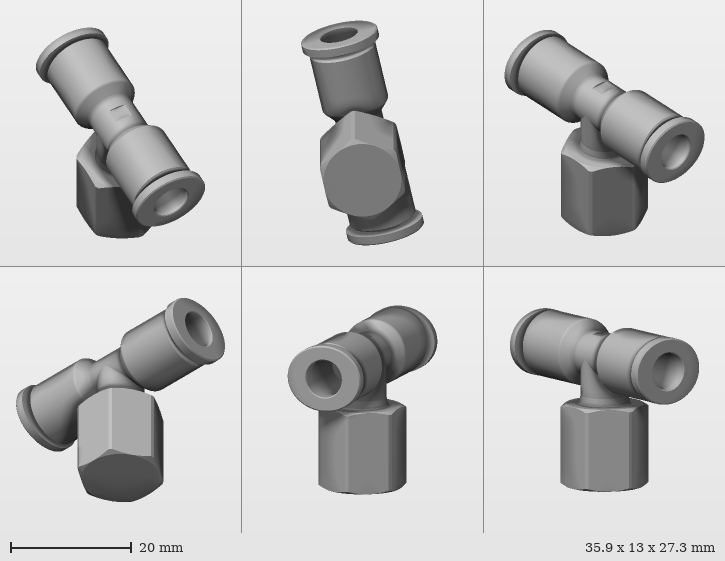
import cadquery as cq
import math

length = 35.9
height = 27.3
half_length = length / 2

body_radius = 5.6
waist_radius = 4.0
waist_end = 3.1
shoulder_start = 3.75
shoulder_end = 5.17
body_start = 5.75
body_end = 15.58
body_chamfer = 0.25
shoulder_inner_radius = 4.2
shoulder_outer_radius = 5.42

collar_width = 13.0
collar_height = 11.13
collar_thickness = 1.58
collar_chamfer = 0.2
neck_radius = 3.8

socket_radius = 3.15
socket_depth = half_length - body_start
socket_chamfer = 0.15

flat_length = 2.5
flat_width = 3.1

stem_radius = waist_radius
flare_start_z = -6.45
flare_radius = 4.27
rim_z = -7.65
rim_radius = 4.5

nut_flats = 13.0
nut_corner_radius = 7.32
nut_top_z = -7.85
nut_bottom_z = body_radius - height
nut_chamfer_angle = 30.0
nut_face_radius = 6.45


def make_run():
    """Solid of revolution about X: waist, flared shoulders, bodies and necks."""
    half = (
        cq.Workplane("XY")
        .lineTo(0, waist_radius)
        .lineTo(waist_end, waist_radius)
        .tangentArcPoint((shoulder_start, shoulder_inner_radius), relative=False)
        .lineTo(shoulder_end, shoulder_outer_radius)
        .tangentArcPoint((body_start, body_radius), relative=False)
        .lineTo(body_end - body_chamfer, body_radius)
        .lineTo(body_end, body_radius - body_chamfer)
        .lineTo(body_end, neck_radius)
        .lineTo(half_length - collar_thickness, neck_radius)
        .lineTo(half_length - collar_thickness, 0)
        .close()
        .revolve(360, (0, 0, 0), (1, 0, 0))
    )
    return half.union(half.mirror("YZ"))


def make_collar():
    """Oval flange at the +X end with a chamfered outer edge."""
    return (
        cq.Workplane("YZ")
        .workplane(offset=half_length - collar_thickness)
        .ellipse(collar_width / 2, collar_height / 2)
        .extrude(collar_thickness)
        .faces(">X")
        .chamfer(collar_chamfer)
    )


def make_socket():
    """Blind tube socket entering from the +X end, with a chamfered mouth."""
    mouth_radius = socket_radius + socket_chamfer
    profile = [
        (half_length, 0),
        (half_length, mouth_radius),
        (half_length - socket_chamfer, socket_radius),
        (half_length - socket_depth, socket_radius),
        (half_length - socket_depth, 0),
    ]
    return cq.Workplane("XY").polyline(profile).close().revolve(360, (0, 0, 0), (1, 0, 0))


def make_stem():
    """Round stem from the run axis down into the nut, flaring at its foot."""
    profile = [
        (0, 0),
        (stem_radius, 0),
        (stem_radius, flare_start_z),
        (flare_radius, rim_z),
        (rim_radius, nut_top_z),
        (0, nut_top_z),
    ]
    return cq.Workplane("XZ").polyline(profile).close().revolve(360, (0, 0, 0), (0, 1, 0))


def make_nut():
    """Hexagon with flats facing +Y and -Y, turned corners and chamfered ends."""
    hexagon = (
        cq.Workplane("XY")
        .workplane(offset=nut_bottom_z)
        .polygon(6, nut_flats / math.cos(math.pi / 6))
        .extrude(nut_top_z - nut_bottom_z)
    )
    chamfer_drop = (nut_corner_radius - nut_face_radius) * math.tan(math.radians(nut_chamfer_angle))
    profile = [
        (0, nut_bottom_z),
        (nut_face_radius, nut_bottom_z),
        (nut_corner_radius, nut_bottom_z + chamfer_drop),
        (nut_corner_radius, nut_top_z - chamfer_drop),
        (nut_face_radius, nut_top_z),
        (0, nut_top_z),
    ]
    turned = cq.Workplane("XZ").polyline(profile).close().revolve(360, (0, 0, 0), (0, 1, 0))
    return hexagon.intersect(turned)


def make_flat_cutter():
    """Block whose underside leaves a flat of the wanted width on the waist."""
    flat_z = math.sqrt(waist_radius**2 - (flat_width / 2) ** 2)
    return (
        cq.Workplane("XY")
        .workplane(offset=flat_z)
        .rect(flat_length, 2 * waist_radius)
        .extrude(waist_radius)
    )


collar = make_collar()
socket = make_socket()

result = make_run().union(make_stem()).union(make_nut())
result = result.union(collar).union(collar.mirror("YZ"))
result = result.cut(socket).cut(socket.mirror("YZ"))
result = result.cut(make_flat_cutter())